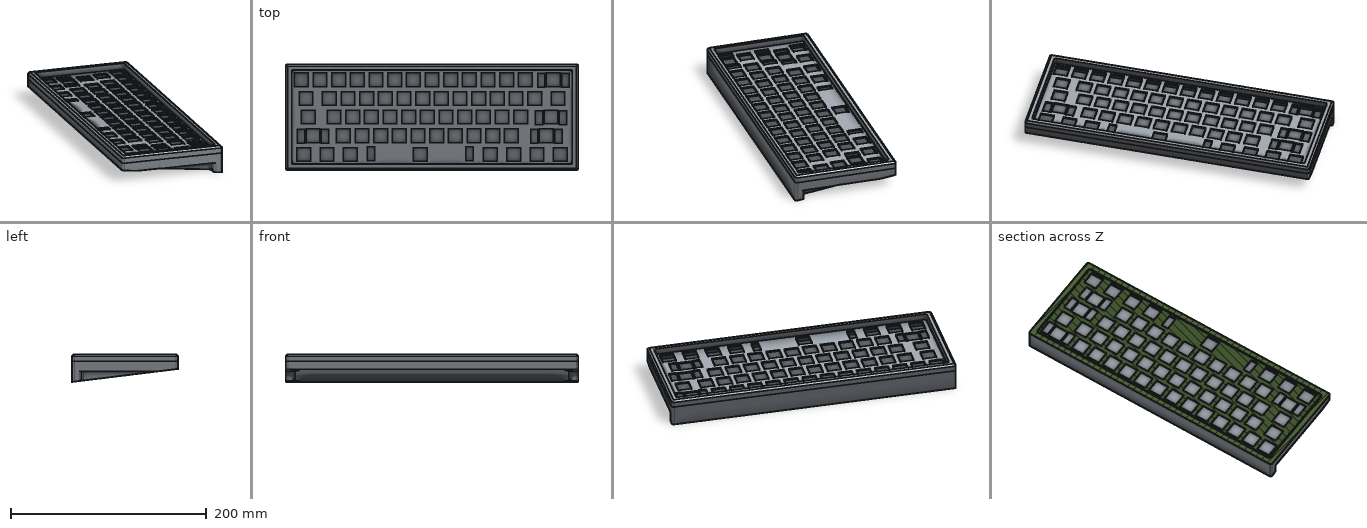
import cadquery as cq
import math

WIDTH = 298.7
DEPTH = 108.2
HEIGHT = 28.47
TILT = 7.0
CORNER_RADIUS = 2.2
RIM_CHAMFER = 2.0

KEY_PITCH = 19.05
KEYS_WIDE = 15
ROW_COUNT = 5

BEZEL_HEIGHT = 7.5
PLATE_THICKNESS = 1.5
LEDGE_WIDTH = 0.9
PLATE_GAP = 0.5
FLOOR_THICKNESS = 3.0
OPENING_CORNER_RADIUS = 2.0

UNDERCUT_WIDTH = 9.9
UNDERCUT_ROOF_Z = 11.25
LEG_DEPTH = 9.4
UNDERCUT_CORNER_RADIUS = 2.0
UNDERCUT_ROOF_RADIUS = 0.8

FOOT_DIAMETER = 8.0
FOOT_RECESS_DEPTH = 1.0
FOOT_SIDE_INSET = 9.6
FOOT_REAR_INSET = 5.5
FOOT_FRONT_INSET = 10.5

SWITCH_SIZE = 14.0
STABILISER_WIDTH = 7.4
STABILISER_LENGTH = 14.35
STABILISER_SHIFT = 0.7
SHORT_STABILISER_REACH = 12.3
SPACE_STABILISER_REACH = 50.3
STABILISED_FROM = 2.0
SPACE_KEY = 6.25

KEY_ROWS = [
    [1] * 13 + [2],
    [1.5] + [1] * 12 + [1.5],
    [1.75] + [1] * 11 + [2.25],
    [2.25] + [1] * 10 + [2.75],
    [1.25] * 3 + [SPACE_KEY] + [1.25] * 4,
]

SPLIT_Z = HEIGHT - BEZEL_HEIGHT
PLATE_WIDTH = KEYS_WIDE * KEY_PITCH
PLATE_DEPTH = ROW_COUNT * KEY_PITCH
OPENING_WIDTH = PLATE_WIDTH + 2 * PLATE_GAP
OPENING_DEPTH = PLATE_DEPTH + 2 * PLATE_GAP
PLATE_CORNER_RADIUS = OPENING_CORNER_RADIUS - PLATE_GAP
CAVITY_WIDTH = PLATE_WIDTH - 2 * LEDGE_WIDTH
CAVITY_DEPTH = PLATE_DEPTH - 2 * LEDGE_WIDTH
FRONT_Y = -DEPTH / 2
REAR_Y = DEPTH / 2
FRONT_EDGE_Z = DEPTH * math.tan(math.radians(TILT))
COS_45 = math.sqrt(0.5)
FLOOR_Z = FRONT_EDGE_Z + FLOOR_THICKNESS


def rounded_block(width, depth, bottom_z, top_z, radius):
    """Block centred on the Z axis with rounded upright edges."""
    block = cq.Workplane("XY", origin=(0, 0, bottom_z)).rect(width, depth).extrude(top_z - bottom_z)
    return block.edges("|Z").fillet(radius)


def make_bezel():
    frame = rounded_block(WIDTH, DEPTH, SPLIT_Z, HEIGHT, CORNER_RADIUS)
    frame = frame.faces(">Z").edges().chamfer(RIM_CHAMFER)
    opening = rounded_block(OPENING_WIDTH, OPENING_DEPTH, SPLIT_Z, HEIGHT, OPENING_CORNER_RADIUS)
    return frame.cut(opening)


def make_undercut(side):
    """Cutter for the space under one side; `side` is -1 for left, 1 for right."""
    side_x = side * WIDTH / 2
    inner_x = side * (WIDTH / 2 - UNDERCUT_WIDTH)
    beyond_x = side * (WIDTH / 2 + UNDERCUT_WIDTH)
    beyond_y = FRONT_Y - UNDERCUT_WIDTH
    leg_face_y = REAR_Y - LEG_DEPTH
    leg_corner_x = side * (WIDTH / 2 - CORNER_RADIUS)
    leg_corner_y = leg_face_y + CORNER_RADIUS
    inner_corner_x = inner_x + side * UNDERCUT_CORNER_RADIUS
    inner_corner_y = leg_face_y - UNDERCUT_CORNER_RADIUS
    inner_arc_offset = UNDERCUT_CORNER_RADIUS * COS_45
    leg_arc_offset = CORNER_RADIUS * COS_45
    inner_midpoint = (inner_corner_x - side * inner_arc_offset, inner_corner_y + inner_arc_offset)
    leg_midpoint = (leg_corner_x + side * leg_arc_offset, leg_corner_y - leg_arc_offset)
    cutter = (
        cq.Workplane("XY")
        .moveTo(inner_x, beyond_y)
        .lineTo(inner_x, inner_corner_y)
        .threePointArc(inner_midpoint, (inner_corner_x, leg_face_y))
        .lineTo(leg_corner_x, leg_face_y)
        .threePointArc(leg_midpoint, (side_x, leg_corner_y))
        .lineTo(beyond_x, leg_corner_y)
        .lineTo(beyond_x, beyond_y)
        .close()
        .extrude(UNDERCUT_ROOF_Z)
    )
    return cutter.faces(">Z").edges().fillet(UNDERCUT_ROOF_RADIUS)


def foot_recess(x, rear_inset):
    """Cutter for a foot recess, square to the sloping underside."""
    slope = math.radians(TILT)
    plane = cq.Plane(
        origin=(x, REAR_Y - rear_inset, rear_inset * math.tan(slope)),
        xDir=(1, 0, 0),
        normal=(0, math.sin(slope), math.cos(slope)),
    )
    return cq.Workplane(plane).circle(FOOT_DIAMETER / 2).extrude(FOOT_RECESS_DEPTH)


def make_case():
    case = rounded_block(WIDTH, DEPTH, 0, SPLIT_Z, CORNER_RADIUS)
    wedge = (
        cq.Workplane("YZ", origin=(-WIDTH / 2, 0, 0))
        .polyline([(REAR_Y, 0), (FRONT_Y, FRONT_EDGE_Z), (FRONT_Y, 0)])
        .close()
        .extrude(WIDTH)
    )
    cavity = rounded_block(CAVITY_WIDTH, CAVITY_DEPTH, FLOOR_Z, SPLIT_Z, OPENING_CORNER_RADIUS)
    case = case.cut(wedge).cut(cavity)
    for side in (-1, 1):
        case = case.cut(make_undercut(side))
        foot_x = side * (WIDTH / 2 - FOOT_SIDE_INSET)
        for rear_inset in (FOOT_REAR_INSET, DEPTH - FOOT_FRONT_INSET):
            case = case.cut(foot_recess(foot_x, rear_inset))
    return case


def key_layout():
    """Centre and width, in units, of every key."""
    keys = []
    for row, widths in enumerate(KEY_ROWS):
        y = PLATE_DEPTH / 2 - (row + 0.5) * KEY_PITCH
        left = -PLATE_WIDTH / 2
        for units in widths:
            keys.append((left + units * KEY_PITCH / 2, y, units))
            left += units * KEY_PITCH
    return keys


def make_plate():
    switch_points = []
    stabiliser_points = []
    for x, y, units in key_layout():
        switch_points.append((x, y))
        if units < STABILISED_FROM:
            continue
        is_space = units == SPACE_KEY
        reach = SPACE_STABILISER_REACH if is_space else SHORT_STABILISER_REACH
        shift = STABILISER_SHIFT if is_space else -STABILISER_SHIFT
        for side in (-1, 1):
            stabiliser_points.append((x + side * reach, y + shift))
    plate_top_z = SPLIT_Z + PLATE_THICKNESS
    plate = rounded_block(PLATE_WIDTH, PLATE_DEPTH, SPLIT_Z, plate_top_z, PLATE_CORNER_RADIUS)
    base = cq.Workplane("XY", origin=(0, 0, SPLIT_Z))
    switches = base.pushPoints(switch_points).rect(SWITCH_SIZE, SWITCH_SIZE).extrude(PLATE_THICKNESS)
    stabilisers = (
        base.pushPoints(stabiliser_points)
        .rect(STABILISER_WIDTH, STABILISER_LENGTH)
        .extrude(PLATE_THICKNESS)
    )
    return plate.cut(switches).cut(stabilisers)


bezel = make_bezel().solids()
plate = make_plate().solids()
case = make_case().solids()

result = cq.Compound.makeCompound([bezel.val(), plate.val(), case.val()])